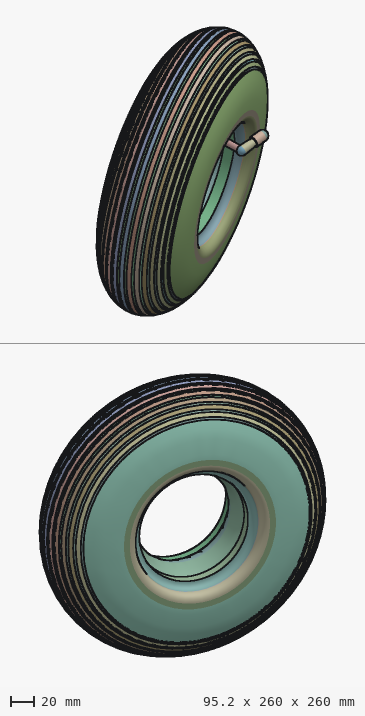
import cadquery as cq
import math


TYRE_RADIUS = 130.0
TYRE_HALF_WIDTH = 42.5
SHOULDER_RADIUS = 70.2
CROWN_HEIGHT = TYRE_RADIUS - SHOULDER_RADIUS
BEAD_LIP_RADIUS = 64.7
BEAD_SEAT_RADIUS = 57.0
BORE_RADIUS = 50.2
BEAD_HALF_WIDTH = 27.3
CARCASS_WALL = 9.5

GROOVES_PER_SIDE = 7
GROOVE_PITCH = 6.8
GROOVE_WIDTH = 2.3
GROOVE_DEPTH = 1.0

TUBE_INNER_RADIUS = 44.2
TUBE_OUTER_RADIUS = TYRE_RADIUS - CARCASS_WALL
TUBE_CENTRE_RADIUS = (TUBE_INNER_RADIUS + TUBE_OUTER_RADIUS) / 2
TUBE_SEMI_HEIGHT = (TUBE_OUTER_RADIUS - TUBE_INNER_RADIUS) / 2
TUBE_SEMI_WIDTH = TYRE_HALF_WIDTH - CARCASS_WALL

VALVE_TILT = 24.0
CAP_RADIUS = 5.2
CAP_LENGTH = 10.5
NECK_LENGTH = 13.8
NECK_TOP_RADIUS = 4.0
ELBOW_RADIUS = 4.7
STEM_RADIUS = 3.5
DOME_CENTRE = cq.Vector(47.5, 64.0, 0)
STEM_START = cq.Vector(14.3, 46.5, 0)

WHEEL_AXIS_START = (0, 0, 0)
WHEEL_AXIS_END = (1, 0, 0)


def spin(profile):
    """Revolve a closed XY profile once around the wheel axis."""
    return profile.revolve(360, WHEEL_AXIS_START, WHEEL_AXIS_END)


def crown_point(angle):
    """Point on the elliptical crown; the angle parameter runs from the crown centre to the shoulder."""
    return (
        TYRE_HALF_WIDTH * math.sin(angle),
        SHOULDER_RADIUS + CROWN_HEIGHT * math.cos(angle),
    )


def crown_slope(angle):
    """Tangent vector of the crown with respect to the angle parameter."""
    return TYRE_HALF_WIDTH * math.cos(angle), -CROWN_HEIGHT * math.sin(angle)


def crown_angle_at(arc_length, steps=200):
    """Angle parameter at a given distance along the crown from its centre."""
    angle = 0.0
    for _ in range(steps):
        angle += arc_length / steps / math.hypot(*crown_slope(angle))
    return angle


def make_tread_groove(arc_length, side):
    """Ring that cuts one groove square to the crown; side is +1 or -1."""
    angle = crown_angle_at(arc_length)
    x, radius = crown_point(angle)
    tangent = cq.Vector(*crown_slope(angle)).normalized()
    normal = cq.Vector(-tangent.y, tangent.x)
    centre = cq.Vector(x, radius)
    half_width = tangent * (GROOVE_WIDTH / 2)
    depth = normal * GROOVE_DEPTH
    corners = [
        centre - half_width - depth,
        centre + half_width - depth,
        centre + half_width + depth,
        centre - half_width + depth,
    ]
    return spin(cq.Workplane("XY").polyline([(side * c.x, c.y) for c in corners]).close())


def make_tube_ring():
    """Solid ring of elliptical section, drawn as two half ellipses."""
    section = (
        cq.Workplane("XY")
        .moveTo(0, TUBE_INNER_RADIUS)
        .ellipseArc(TUBE_SEMI_WIDTH, TUBE_SEMI_HEIGHT, -90, 90)
        .ellipseArc(TUBE_SEMI_WIDTH, TUBE_SEMI_HEIGHT, 90, 270)
        .close()
    )
    return spin(section)


def make_tyre_blank():
    """Tyre without grooves or cavity."""
    lip_rounding = BEAD_LIP_RADIUS - BEAD_SEAT_RADIUS
    cove_rounding = BEAD_SEAT_RADIUS - BORE_RADIUS
    lip_x = TYRE_HALF_WIDTH - lip_rounding
    cove_x = BEAD_HALF_WIDTH + cove_rounding
    diagonal = math.sqrt(0.5)
    lip_middle_x = lip_x + lip_rounding * diagonal
    lip_middle_radius = BEAD_LIP_RADIUS - lip_rounding * diagonal
    cove_middle_x = cove_x - cove_rounding * diagonal
    cove_middle_radius = BORE_RADIUS + cove_rounding * diagonal
    profile = (
        cq.Workplane("XY")
        .moveTo(-BEAD_HALF_WIDTH, BORE_RADIUS)
        .lineTo(BEAD_HALF_WIDTH, BORE_RADIUS)
        .threePointArc((cove_middle_x, cove_middle_radius), (cove_x, BEAD_SEAT_RADIUS))
        .lineTo(lip_x, BEAD_SEAT_RADIUS)
        .threePointArc((lip_middle_x, lip_middle_radius), (TYRE_HALF_WIDTH, BEAD_LIP_RADIUS))
        .lineTo(TYRE_HALF_WIDTH, SHOULDER_RADIUS)
        .ellipseArc(TYRE_HALF_WIDTH, CROWN_HEIGHT, 0, 180)
        .lineTo(-TYRE_HALF_WIDTH, BEAD_LIP_RADIUS)
        .threePointArc((-lip_middle_x, lip_middle_radius), (-lip_x, BEAD_SEAT_RADIUS))
        .lineTo(-cove_x, BEAD_SEAT_RADIUS)
        .threePointArc((-cove_middle_x, cove_middle_radius), (-BEAD_HALF_WIDTH, BORE_RADIUS))
        .close()
    )
    return spin(profile)


def make_tyre():
    """Grooved tyre with a cavity for the tube and a shallow recess where the valve cap rests on the lip."""
    tyre = make_tyre_blank().cut(make_tube_ring()).cut(make_valve())
    for index in range(GROOVES_PER_SIDE):
        for side in (-1, 1):
            tyre = tyre.cut(make_tread_groove((index + 0.5) * GROOVE_PITCH, side))
    return tyre


def make_valve():
    """Valve lying in the XY plane, on the +Y side of the wheel."""
    tilt = math.radians(VALVE_TILT)
    outward = cq.Vector(math.sin(tilt), math.cos(tilt), 0)
    cap_base = DOME_CENTRE - outward * CAP_LENGTH
    elbow = cap_base - outward * NECK_LENGTH
    stem = elbow - STEM_START

    def ball(radius, centre):
        return cq.Workplane("XY").sphere(radius).translate(centre)

    cap = cq.Solid.makeCylinder(CAP_RADIUS, CAP_LENGTH, cap_base, outward)
    neck = cq.Solid.makeCone(ELBOW_RADIUS, NECK_TOP_RADIUS, NECK_LENGTH, elbow, outward)
    base_stem = cq.Solid.makeCylinder(STEM_RADIUS, stem.Length, STEM_START, stem)
    valve = ball(CAP_RADIUS, DOME_CENTRE).union(ball(ELBOW_RADIUS, elbow))
    for part in (cap, neck, base_stem):
        valve = valve.union(cq.Workplane(part))
    return valve


def make_inner_tube():
    """Tube ring and its valve, one piece."""
    return make_tube_ring().union(make_valve())


inner_tube = make_inner_tube()
tyre = make_tyre()

result = cq.Compound.makeCompound([tyre.solids().val(), inner_tube.solids().val()])